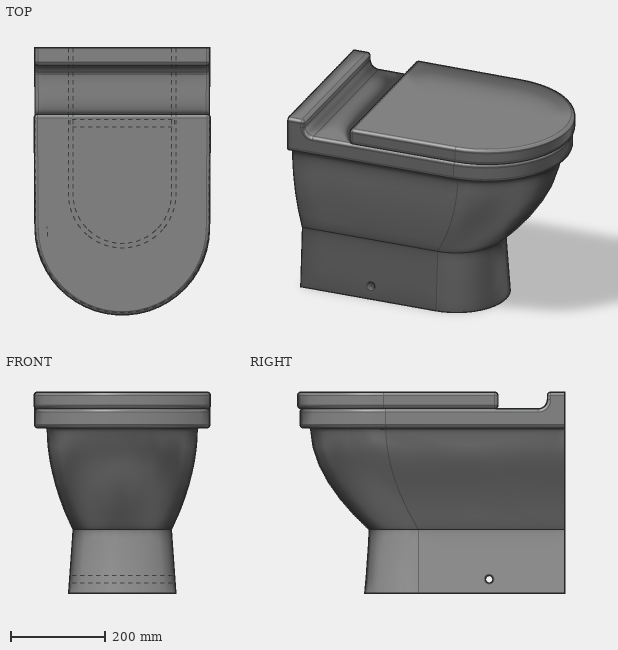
import cadquery as cq


TOTAL_HEIGHT = 426.0
TOTAL_DEPTH = 566.0
EDGE_RADIUS = 7.5

PEDESTAL_HEIGHT = 135.0
PEDESTAL_NOSE_CENTRE = 310.0
PEDESTAL_BASE_RADIUS = 114.0
PEDESTAL_TOP_RADIUS = 104.0

FIXING_HOLE_DIAMETER = 15.0
FIXING_HOLE_MOUTH_DIAMETER = 20.0
FIXING_HOLE_SETBACK = 160.0
FIXING_HOLE_HEIGHT = 30.0

RIM_BOTTOM = 350.5
RIM_TOP = 391.0
RIM_DEPTH = 561.0
RIM_BACK_HALF_WIDTH = 185.5
RIM_NOSE_HALF_WIDTH = 183.5
RIM_NOSE_START = 379.5
UPSTAND_DEPTH = 37.5
UPSTAND_COVE_RADIUS = 19.0

BOWL_TOP_RADIUS = 159.0
BOWL_TOP_NOSE_CENTRE = 379.0
BOWL_BULGE_POWER = 1.9
BOWL_SECTION_COUNT = 7
BOWL_RIM_FILLET = 3.0

LID_BACK = 141.5
LID_BACK_HALF_WIDTH = 187.0
LID_NOSE_HALF_WIDTH = 185.0
LID_NOSE_START = 383.5


def round_nosed_outline(plane_height, back, back_half_width, nose_start, nose_half_width, front):
    """Closed outline with a straight back, two straight sides and a round nose toward -Y."""
    return (
        cq.Workplane("XY", origin=(0, 0, plane_height))
        .moveTo(-back_half_width, -back)
        .lineTo(-nose_half_width, -nose_start)
        .threePointArc((0, -front), (nose_half_width, -nose_start))
        .lineTo(back_half_width, -back)
        .close()
    )


def u_section(height, radius, nose_centre):
    """Outline with parallel sides and a semicircular nose."""
    return round_nosed_outline(height, 0, radius, nose_centre, radius, nose_centre + radius)


def loft_sections(sections, ruled):
    """Solid through the outlines, with straight sides if ruled and smooth sides otherwise."""
    wires = [section.val() for section in sections]
    return cq.Workplane(cq.Solid.makeLoft(wires, ruled))


def make_pedestal():
    base = u_section(0, PEDESTAL_BASE_RADIUS, PEDESTAL_NOSE_CENTRE)
    top = u_section(PEDESTAL_HEIGHT, PEDESTAL_TOP_RADIUS, PEDESTAL_NOSE_CENTRE)
    return loft_sections([base, top], ruled=True)


def make_bowl():
    """Sections shrink slowly below the rim and ever faster toward the pedestal."""
    sections = []
    for i in range(BOWL_SECTION_COUNT):
        drop = 1 - i / (BOWL_SECTION_COUNT - 1)
        shrink = drop**BOWL_BULGE_POWER
        height = RIM_BOTTOM - drop * (RIM_BOTTOM - PEDESTAL_HEIGHT)
        radius = BOWL_TOP_RADIUS - shrink * (BOWL_TOP_RADIUS - PEDESTAL_TOP_RADIUS)
        nose_centre = BOWL_TOP_NOSE_CENTRE - shrink * (BOWL_TOP_NOSE_CENTRE - PEDESTAL_NOSE_CENTRE)
        sections.append(u_section(height, radius, nose_centre))
    return loft_sections(sections, ruled=False)


def make_rim():
    block = round_nosed_outline(
        RIM_BOTTOM, 0, RIM_BACK_HALF_WIDTH, RIM_NOSE_START, RIM_NOSE_HALF_WIDTH, RIM_DEPTH
    ).extrude(TOTAL_HEIGHT - RIM_BOTTOM)

    clearance = (
        cq.Workplane("YZ", origin=(-LID_BACK_HALF_WIDTH, 0, 0))
        .moveTo(-TOTAL_DEPTH, RIM_TOP)
        .lineTo(-UPSTAND_DEPTH - UPSTAND_COVE_RADIUS, RIM_TOP)
        .radiusArc((-UPSTAND_DEPTH, RIM_TOP + UPSTAND_COVE_RADIUS), -UPSTAND_COVE_RADIUS)
        .lineTo(-UPSTAND_DEPTH, TOTAL_HEIGHT)
        .lineTo(-TOTAL_DEPTH, TOTAL_HEIGHT)
        .close()
        .extrude(2 * LID_BACK_HALF_WIDTH)
    )
    rim = block.cut(clearance)

    outline_edges = rim.edges("not (>Y or |X or |Z)")
    upstand_front = cq.NearestToPointSelector((0, -UPSTAND_DEPTH, TOTAL_HEIGHT - EDGE_RADIUS))
    upstand_edges = rim.faces(upstand_front).edges("not <Z")
    rounded_edges = outline_edges.add(upstand_edges)
    return rounded_edges.fillet(EDGE_RADIUS)


def box_around(centre, half_size):
    """Selector for what lies centred inside a box, given the box's centre and half sizes."""
    low = tuple(c - h for c, h in zip(centre, half_size))
    high = tuple(c + h for c, h in zip(centre, half_size))
    return cq.selectors.BoxSelector(low, high)


def cut_fixing_hole(pedestal):
    """Drill along X through both flanks and round the two mouths."""
    drill = (
        cq.Workplane("YZ", origin=(-PEDESTAL_BASE_RADIUS, -FIXING_HOLE_SETBACK, FIXING_HOLE_HEIGHT))
        .circle(FIXING_HOLE_DIAMETER / 2)
        .extrude(2 * PEDESTAL_BASE_RADIUS)
    )
    mouths = box_around(
        (0, -FIXING_HOLE_SETBACK, FIXING_HOLE_HEIGHT),
        (PEDESTAL_BASE_RADIUS, FIXING_HOLE_DIAMETER, FIXING_HOLE_DIAMETER),
    )
    mouth_radius = (FIXING_HOLE_MOUTH_DIAMETER - FIXING_HOLE_DIAMETER) / 2
    return pedestal.cut(drill).edges(mouths).edges("not %LINE").fillet(mouth_radius)


def join_bowl_to_rim(rim, bowl):
    """Union with a small fillet in the corner where the bowl meets the rim's underside."""
    bowl_depth = BOWL_TOP_NOSE_CENTRE + BOWL_TOP_RADIUS
    seam = box_around(
        (0, -bowl_depth / 2, RIM_BOTTOM),
        (BOWL_TOP_RADIUS + BOWL_RIM_FILLET, bowl_depth / 2 - BOWL_RIM_FILLET, BOWL_RIM_FILLET),
    )
    return rim.union(bowl).edges(seam).edges("%BSPLINE").fillet(BOWL_RIM_FILLET)


def make_ceramic():
    bowl_and_rim = join_bowl_to_rim(make_rim(), make_bowl())
    return bowl_and_rim.union(cut_fixing_hole(make_pedestal()))


def make_lid():
    blank = round_nosed_outline(
        RIM_TOP, LID_BACK, LID_BACK_HALF_WIDTH, LID_NOSE_START, LID_NOSE_HALF_WIDTH, TOTAL_DEPTH
    ).extrude(TOTAL_HEIGHT - RIM_TOP)
    rounded_corners = blank.edges("|Z and >Y").fillet(EDGE_RADIUS)
    return rounded_corners.faces("<Z or >Z").edges().fillet(EDGE_RADIUS)


ceramic = make_ceramic()
lid = make_lid()

result = cq.Compound.makeCompound([ceramic.val(), lid.val()])